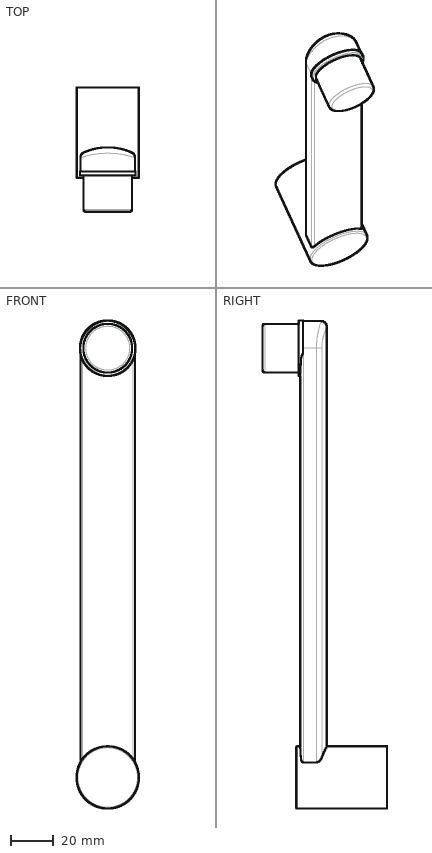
import cadquery as cq

total_height = 227.2
total_depth = 58.0

post_diameter = 29.0
post_length = 42.3
post_edge_round = 0.7

arm_width = 25.5
arm_front = 1.8
arm_front_crown = 0.5
arm_back = 14.3
arm_back_crown = 3.2
arm_front_round = 1.1
arm_back_round = 2.7

collar_diameter = 26.0
collar_front = 1.1
collar_back = 3.2
collar_edge_round = 0.5

knob_diameter = 22.7
knob_edge_round = 1.1

post_center_z = post_diameter / 2
head_center_z = total_height - collar_diameter / 2
knob_front = post_length - total_depth


def cylinder_along_y(diameter, center_z, y_start, y_end):
    """Solid cylinder on the part's middle plane, running from y_start to y_end."""
    plane = cq.Plane(origin=(0, y_start, center_z), xDir=(1, 0, 0), normal=(0, 1, 0))
    return cq.Workplane(plane).circle(diameter / 2).extrude(y_end - y_start)


def edges_between(y_start, y_end):
    """Selector for edges centred above the post axis and between two Y places."""
    return cq.selectors.BoxSelector(
        (-arm_width, y_start, post_center_z + post_edge_round),
        (arm_width, y_end, total_height),
    )


def make_arm():
    """Bar with crowned front and back, a round upper end and rounded edges."""
    half_width = arm_width / 2
    side_front = arm_front + arm_front_crown
    side_back = arm_back - arm_back_crown
    bar = (
        cq.Workplane("XY", origin=(0, 0, post_center_z))
        .moveTo(-half_width, side_front)
        .threePointArc((0, arm_front), (half_width, side_front))
        .lineTo(half_width, side_back)
        .threePointArc((0, arm_back), (-half_width, side_back))
        .close()
        .extrude(total_height - post_center_z)
    )
    outline = (
        cq.Workplane("XZ")
        .moveTo(-half_width, post_center_z)
        .lineTo(half_width, post_center_z)
        .lineTo(half_width, head_center_z)
        .threePointArc((0, head_center_z + half_width), (-half_width, head_center_z))
        .close()
        .extrude(-post_length)
    )
    arm = bar.intersect(outline)
    middle_y = (side_front + side_back) / 2
    arm = arm.edges(edges_between(middle_y, arm_back)).fillet(arm_back_round)
    return arm.edges(edges_between(0, middle_y - arm_front_round)).fillet(arm_front_round)


def make_post():
    post = cylinder_along_y(post_diameter, post_center_z, 0, post_length)
    return post.faces("<Y").edges().fillet(post_edge_round)


def make_collar():
    collar = cylinder_along_y(collar_diameter, head_center_z, collar_front, collar_back)
    return collar.faces("<Y").edges().fillet(collar_edge_round)


def make_knob():
    knob = cylinder_along_y(knob_diameter, head_center_z, knob_front, collar_back)
    return knob.faces("<Y").edges().fillet(knob_edge_round)


result = make_arm().union(make_post()).union(make_collar()).union(make_knob())